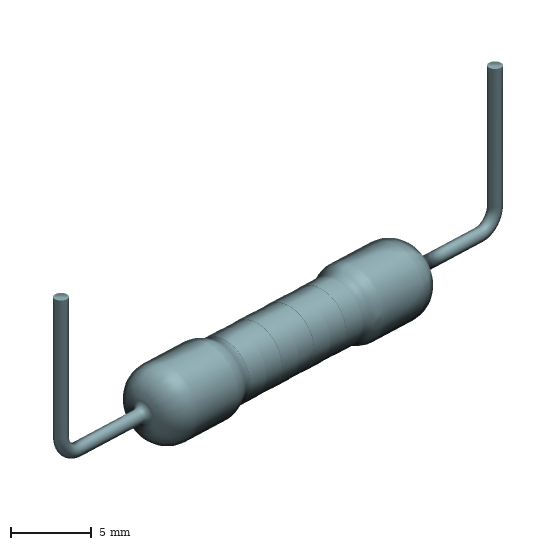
import cadquery as cq
import math


cap_radius = 5.5 / 2
neck_radius = 4.67 / 2
band_radius = 4.7 / 2
body_half_length = 12.5
dome_radius = 2.0
cap_inner_end = 6.72
shoulder_arc_radius = 1.5

band_width = 1.48
band_pitch = 2 * band_width
band_count = 4

wire_radius = 1.0 / 2
overall_length = 41
overall_height = 14.1
bend_radius = 1.5
root_fillet = 0.5

arc_drop = (cap_radius - neck_radius) / 2
arc_length = math.sqrt(shoulder_arc_radius**2 - (shoulder_arc_radius - arc_drop) ** 2)
shoulder_middle = cap_inner_end - arc_length
neck_end = shoulder_middle - arc_length

lead_y = overall_length / 2 - wire_radius
lead_top = overall_height - cap_radius


def make_half_body():
    """Half of the body on the +Y side, turned about the Y axis."""
    dome_start = body_half_length - dome_radius
    profile = (
        cq.Workplane("XY")
        .lineTo(neck_radius, 0)
        .lineTo(neck_radius, neck_end)
        .tangentArcPoint((neck_radius + arc_drop, shoulder_middle), relative=False)
        .tangentArcPoint((cap_radius, cap_inner_end), relative=False)
        .lineTo(cap_radius, dome_start)
        .tangentArcPoint((cap_radius - dome_radius, body_half_length), relative=False)
        .lineTo(0, body_half_length)
        .close()
    )
    return profile.revolve(360, (0, 0, 0), (0, 1, 0))


def make_band(center_y):
    """Colour band standing slightly proud of the neck."""
    start = cq.Workplane("XZ", origin=(0, center_y + band_width / 2, 0))
    return start.circle(band_radius).extrude(band_width)


def make_lead():
    """Lead on the +Y side: straight along Y, then bent up to +Z."""
    path = (
        cq.Workplane("YZ")
        .lineTo(lead_y - bend_radius, 0)
        .tangentArcPoint((lead_y, bend_radius), relative=False)
        .lineTo(lead_y, lead_top)
    )
    return cq.Workplane("XZ").circle(wire_radius).sweep(path)


def make_root_collar():
    """Concave flare that blends the lead into the end of the body."""
    flare_radius = wire_radius + root_fillet
    flare_end = body_half_length + root_fillet
    skirt_start = body_half_length - root_fillet
    profile = (
        cq.Workplane("XY")
        .moveTo(0, skirt_start)
        .lineTo(wire_radius, skirt_start)
        .lineTo(flare_radius, body_half_length)
        .radiusArc((wire_radius, flare_end), root_fillet)
        .lineTo(0, flare_end)
        .close()
    )
    return profile.revolve(360, (0, 0, 0), (0, 1, 0))


half = make_half_body().union(make_root_collar()).union(make_lead())
result = half.union(half.rotate((0, 0, 0), (0, 0, 1), 180)).clean()

for index in range(band_count):
    band_y = (index - (band_count - 1) / 2) * band_pitch
    result = result.union(make_band(band_y))